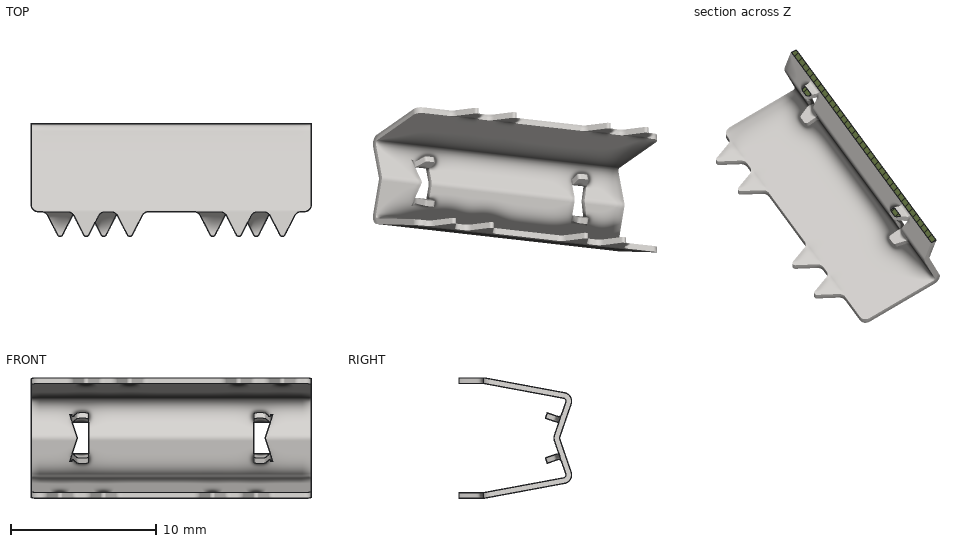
import cadquery as cq
import math

length = 19.3
depth = 7.77
height = 8.3
sheet = 0.4
bend_inside = 0.2
bend_outside = bend_inside + sheet

wing_angle = math.radians(10.5)
spine_angle = math.radians(19)

tooth_length = 1.7
tooth_half_angle = math.radians(27)
tooth_root_radius = 0.5
tooth_tip_radius = 0.2
tooth_pitch = 3.0
tooth_group_starts = (-5.85, 4.65)
wing_corner_radius = 0.5
edge_margin = 0.01

window_inner_x = 5.69
window_waist_x = 6.46
window_slant = 0.33
tab_bend_z = 1.68
tab_reach = 0.97
tab_corner_radius = 0.2

back_y = depth / 2
tip_y = -depth / 2
wing_edge_y = tip_y + tooth_length
outer_z = height / 2

wing_normal = (math.sin(wing_angle), math.cos(wing_angle))
spine_up = (math.sin(spine_angle), math.cos(spine_angle))
spine_front = (-math.cos(spine_angle), math.sin(spine_angle))


def shift(point, direction, distance):
    return (point[0] + direction[0] * distance, point[1] + direction[1] * distance)


def meet(point_a, normal_a, point_b, normal_b):
    """Intersection of two lines, each given by a point and a normal."""
    offset_a = point_a[0] * normal_a[0] + point_a[1] * normal_a[1]
    offset_b = point_b[0] * normal_b[0] + point_b[1] * normal_b[1]
    cross = normal_a[0] * normal_b[1] - normal_a[1] * normal_b[0]
    return (
        (offset_a * normal_b[1] - offset_b * normal_a[1]) / cross,
        (normal_a[0] * offset_b - normal_b[0] * offset_a) / cross,
    )


lip_axis = (wing_edge_y, outer_z - bend_outside)
wing_face_point = shift(lip_axis, wing_normal, bend_outside)
corner_y = back_y - bend_outside
corner_axis_z = (
    wing_face_point[1]
    - (corner_y - wing_face_point[0]) * math.tan(wing_angle)
    - bend_outside / math.cos(wing_angle)
)
corner_axis = (corner_y, corner_axis_z)


def face_vertices(bend_radius):
    """Sharp corners of one sheet face, from lip end to mid height."""
    up = (0, 1)
    lip_point = shift(lip_axis, up, bend_radius)
    wing_point = shift(lip_axis, wing_normal, bend_radius)
    spine_point = shift(corner_axis, spine_front, -bend_radius)
    return [
        (tip_y, lip_point[1]),
        meet(lip_point, up, wing_point, wing_normal),
        meet(wing_point, wing_normal, spine_point, spine_front),
        meet(spine_point, spine_front, (0, 0), up),
    ]


def below(points):
    """Mirror images of upper section points, in reverse order."""
    return [(y, -z) for y, z in reversed(points)]


def fold_section():
    """Sheet folded along X, with every bend rounded."""
    outside = face_vertices(bend_outside)
    inside = face_vertices(bend_inside)
    *outside_bends, outside_middle = outside[1:]
    *inside_bends, inside_middle = inside[1:]
    outline = outside + below(outside[:-1]) + below(inside[::-1]) + inside[-2::-1]
    body = cq.Workplane("YZ").polyline(outline).close().extrude(length / 2, both=True)

    small = inside_bends + below(inside_bends) + [outside_middle]
    large = outside_bends + below(outside_bends) + [inside_middle]
    for vertices, radius in ((small, bend_inside), (large, bend_outside)):
        for y, z in vertices:
            body = body.edges(cq.NearestToPointSelector((0, y, z))).fillet(radius)
    return body


def upright_edges_at(body, y, reach=length):
    """Edges along Z that lie at the given Y, no further than reach from the middle in X."""
    box = cq.selectors.BoxSelector(
        (-reach, y - edge_margin, -height), (reach, y + edge_margin, height), boundingbox=True
    )
    return body.edges("|Z").edges(box)


def wing_outline():
    """Plan of the upper half: rectangle with rounded corners and two pairs of teeth."""
    plan = (
        cq.Workplane("XY")
        .rect(length, back_y - wing_edge_y)
        .extrude(outer_z)
        .translate((0, (back_y + wing_edge_y) / 2, 0))
    )
    plan = upright_edges_at(plan, wing_edge_y).fillet(wing_corner_radius)

    apex_y = tip_y - tooth_tip_radius * (1 / math.sin(tooth_half_angle) - 1)
    root_half = (wing_edge_y - apex_y) * math.tan(tooth_half_angle)
    for start in tooth_group_starts:
        for x in (start, start + tooth_pitch):
            tooth = (
                cq.Workplane("XY")
                .polyline([
                    (x - root_half, wing_edge_y),
                    (x, apex_y),
                    (x + root_half, wing_edge_y),
                ])
                .close()
                .extrude(outer_z)
            )
            plan = plan.union(tooth)
    plan = upright_edges_at(plan, apex_y).fillet(tooth_tip_radius)
    tooth_roots = upright_edges_at(plan, wing_edge_y, length / 2 - wing_corner_radius - edge_margin)
    return tooth_roots.fillet(tooth_root_radius)


tab_axis = meet(corner_axis, spine_front, (0, tab_bend_z), (0, 1))
window_top = shift(tab_axis, spine_front, -bend_inside)
window_root_x = window_waist_x + window_slant * window_top[1]


def window_cutter():
    """Upper half of a window, at +X, reaching up to the tab bend."""
    sides = (
        cq.Workplane("XZ")
        .polyline([
            (window_inner_x, 0),
            (window_waist_x, 0),
            (window_waist_x + window_slant * outer_z, outer_z),
            (window_inner_x, outer_z),
        ])
        .close()
        .extrude(depth, both=True)
    )
    behind = shift(tab_axis, spine_front, -tab_reach)
    ahead = shift(tab_axis, spine_front, tab_reach)
    below_bend = (
        cq.Workplane("YZ")
        .polyline([
            behind,
            ahead,
            shift(ahead, spine_up, -depth),
            shift(behind, spine_up, -depth),
        ])
        .close()
        .extrude(length)
    )
    return sides.intersect(below_bend)


def tab():
    """Upper tab at +X: quarter bend out of the spine, tapering to a rounded tip."""
    straight = tab_reach - bend_inside
    half_right_angle = math.sqrt(0.5)
    diagonal = shift((0, 0), spine_up, -half_right_angle)
    diagonal = shift(diagonal, spine_front, -half_right_angle)
    inside_end = shift(tab_axis, spine_up, -bend_inside)
    outside_end = shift(tab_axis, spine_up, -bend_outside)
    strip = (
        cq.Workplane("YZ")
        .moveTo(*window_top)
        .threePointArc(shift(tab_axis, diagonal, bend_inside), inside_end)
        .lineTo(*shift(inside_end, spine_front, straight))
        .lineTo(*shift(outside_end, spine_front, straight))
        .lineTo(*outside_end)
        .threePointArc(
            shift(tab_axis, diagonal, bend_outside),
            shift(tab_axis, spine_front, -bend_outside),
        )
        .close()
        .extrude(length)
    )

    plan_plane = cq.Plane(
        origin=(0, *window_top),
        xDir=(1, 0, 0),
        normal=(0, -spine_up[0], -spine_up[1]),
    )
    taper = (
        cq.Workplane(plan_plane)
        .polyline([
            (window_inner_x, -sheet),
            (window_root_x, -sheet),
            (window_waist_x, tab_reach),
            (window_inner_x, tab_reach),
        ])
        .close()
        .extrude(height / 2, both=True)
    )
    tip = shift(window_top, spine_front, tab_reach)
    for x in (window_inner_x, window_waist_x):
        corner = (x, *tip)
        taper = taper.edges(cq.NearestToPointSelector(corner)).fillet(tab_corner_radius)
    return strip.intersect(taper)


def in_four_quadrants(piece):
    upper = [piece, piece.mirror("YZ")]
    return upper + [copy.mirror("XY") for copy in upper]


upper_plan = wing_outline()
lower_plan = upper_plan.rotate((0, 0, 0), (0, 1, 0), 180)
result = fold_section().intersect(upper_plan.union(lower_plan))

for cutter in in_four_quadrants(window_cutter()):
    result = result.cut(cutter)
for piece in in_four_quadrants(tab()):
    result = result.union(piece)